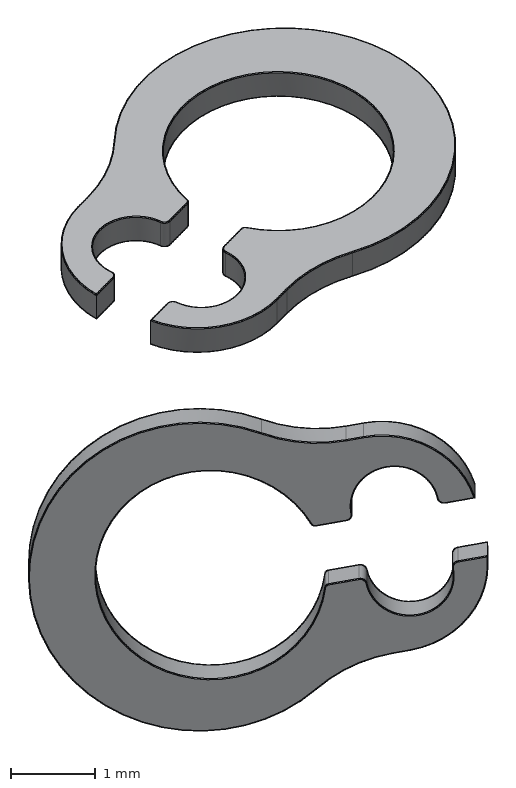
import cadquery as cq
import math

thickness = 0.4
head_radius = 2.015
bore_radius = 1.355
bore_center_y = -0.135
slot_half_width = 0.385
tail_half_width = 1.42
tail_tip_y = -3.385
flank_top_y = -2.04
flank_bottom_y = -2.25
notch_radius = 0.515
notch_center_x = 0.465
notch_center_y = -2.435
bore_corner_radius = 0.055
notch_corner_radius = 0.08
edge_break = 0.01

neck_radius = (tail_half_width**2 + flank_top_y**2 - head_radius**2) / (2 * (head_radius - tail_half_width))
neck_center_x = tail_half_width + neck_radius
neck_angle = math.atan2(flank_top_y, neck_center_x)
neck_start = (head_radius * math.cos(neck_angle), head_radius * math.sin(neck_angle))
neck_mid_angle = (math.pi + neck_angle + math.pi) / 2
neck_mid = (
    neck_center_x + neck_radius * math.cos(neck_mid_angle),
    flank_top_y + neck_radius * math.sin(neck_mid_angle),
)

tail_run = tail_half_width - slot_half_width
tail_drop = flank_bottom_y - tail_tip_y
tail_radius = (tail_run**2 + tail_drop**2) / (2 * tail_run)
tail_center_x = tail_half_width - tail_radius
tail_tip_angle = math.atan2(-tail_drop, slot_half_width - tail_center_x)
tail_mid = (
    tail_center_x + tail_radius * math.cos(tail_tip_angle / 2),
    flank_bottom_y + tail_radius * math.sin(tail_tip_angle / 2),
)


def mirrored(point):
    return (-point[0], point[1])


def make_body():
    """Keyhole-shaped plate, symmetric about the YZ plane."""
    flank_top = (tail_half_width, flank_top_y)
    flank_bottom = (tail_half_width, flank_bottom_y)
    tip = (slot_half_width, tail_tip_y)
    outline = (
        cq.Workplane("XY")
        .moveTo(*mirrored(neck_start))
        .threePointArc((0, head_radius), neck_start)
        .threePointArc(neck_mid, flank_top)
        .lineTo(*flank_bottom)
        .threePointArc(tail_mid, tip)
        .lineTo(*mirrored(tip))
        .threePointArc(mirrored(tail_mid), mirrored(flank_bottom))
        .lineTo(*mirrored(flank_top))
        .threePointArc(mirrored(neck_mid), mirrored(neck_start))
        .close()
    )
    return outline.extrude(thickness)


def make_opening():
    """Bore, slot to the tail end and the two round notches beside it."""
    bore = cq.Workplane("XY").center(0, bore_center_y).circle(bore_radius).extrude(thickness)
    slot_length = bore_center_y - tail_tip_y
    slot = (
        cq.Workplane("XY")
        .center(0, bore_center_y - slot_length / 2)
        .rect(2 * slot_half_width, slot_length)
        .extrude(thickness)
    )
    opening = bore.union(slot)
    for notch_x in (-notch_center_x, notch_center_x):
        notch = cq.Workplane("XY").center(notch_x, notch_center_y).circle(notch_radius).extrude(thickness)
        opening = opening.union(notch)
    return opening


def round_corners(clip, y, radius):
    """Round the pair of upright slot-wall corners at height y along the slot."""
    tolerance = 0.005
    reach = slot_half_width + tolerance
    corners = cq.selectors.BoxSelector(
        (-reach, y - tolerance, 0), (reach, y + tolerance, thickness)
    )
    return clip.edges("|Z").edges(corners).fillet(radius)


clip = make_body().cut(make_opening())
bore_corner_y = bore_center_y - math.sqrt(bore_radius**2 - slot_half_width**2)
clip = round_corners(clip, bore_corner_y, bore_corner_radius)
notch_corner_offset = math.sqrt(notch_radius**2 - (notch_center_x - slot_half_width)**2)
for side in (1, -1):
    clip = round_corners(clip, notch_center_y + side * notch_corner_offset, notch_corner_radius)

result = clip.faces("<Z or >Z").edges().chamfer(edge_break)